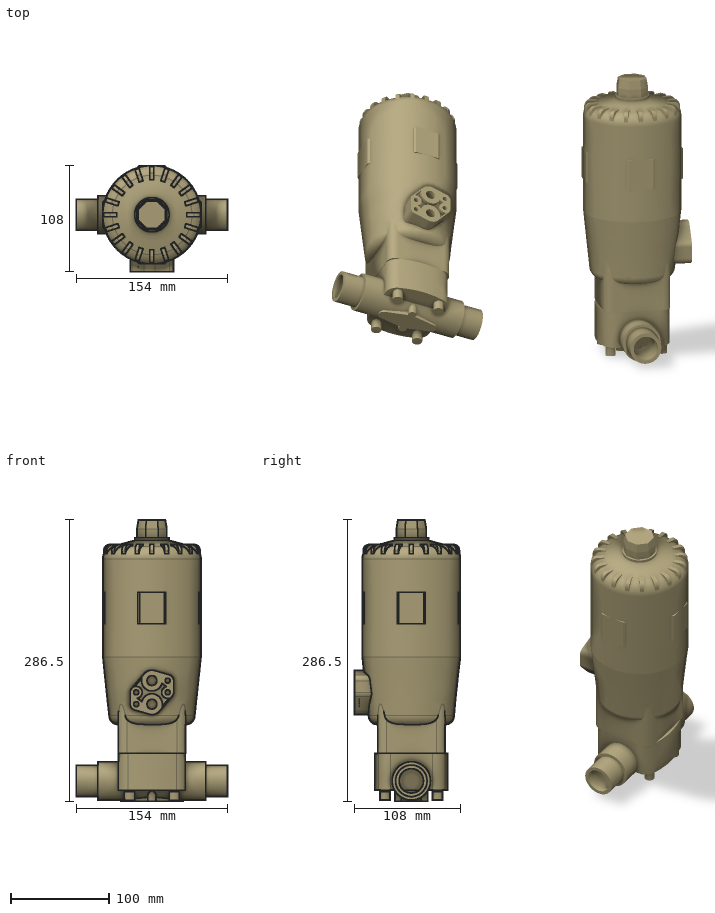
import cadquery as cq
import math


PIPE_LENGTH = 154.0
PIPE_RADIUS = 16.0
BORE_RADIUS = 12.4
COLLAR_LENGTH = 110.0
COLLAR_RADIUS = 19.5

BODY_BOTTOM_Z = -9.5
BODY_TOP_Z = 28.0
BODY_HALF_X = 34.0
BODY_FLAT_HALF_Y = 21.5
BODY_CORNER_X = 24.6
BODY_CORNER_Y = 33.8
BODY_BULGE_Y = 37.4

NECK_SIDE = 68.8
NECK_CORNER_RADIUS = 9.0
NECK_TOP_Z = 82.0

BASE_Z = -21.0
BASE_HALF_X = 31.7
BASE_END_RADIUS = 5.5
BASE_MIDDLE_HALF_Y = 11.0
BASE_POST_RADIUS = 4.3
BASE_POST_OUTER_Y = 16.7
BOLT_X = 22.7
BOLT_Y = 26.7
BOLT_NECK_DIAMETER = 9.8
BOLT_NECK_HEIGHT = 1.7
BOLT_HEAD_DIAMETER = 10.5
BOLT_BOTTOM_Z = -19.6

DRUM_RADIUS = 50.0
DRUM_FLOOR_Z = 57.2
DRUM_FLOOR_FILLET = 9.5
TAPER_BOTTOM_RADIUS = 43.7
TAPER_BOTTOM_Z = DRUM_FLOOR_Z + DRUM_FLOOR_FILLET
DRUM_BOTTOM_Z = 126.1
DRUM_HEIGHT = 100.0
DRUM_TOP_Z = DRUM_BOTTOM_Z + DRUM_HEIGHT
CAP_EDGE_RADIUS = 12.8
CAP_SLOPE = math.radians(15)
CAP_SHOULDER_RADIUS = 17.5
CAP_SHOULDER_TOP_Z = 247.5

RIB_COUNT = 20
RIB_WIDTH = 4.2
RIB_INNER_RADIUS = 35.7
RIB_OUTER_RADIUS = 49.0
RIB_BOTTOM_Z = 231.0
RIB_TOP_Z = 240.5
RIB_EDGE_RADIUS = 6.2
RIB_ROOT_DEPTH = 8.0

NUT_SIDES = 8
NUT_FLATS = 30.6
NUT_TOP_FLATS = 27.5
NUT_TAPER_Z = 256.4
NUT_TOP_Z = 265.5

PAD_COUNT = 4
PAD_WIDTH = 25.2
PAD_BASE_WIDTH = 28.6
PAD_THICKNESS = 1.7
PAD_ROOT = 6.0
PAD_BOTTOM_Z = 159.7
PAD_HEIGHT = 32.0

FLANGE_FACE_Y = -58.0
FLANGE_DEPTH = 23.0
FLANGE_Z = 90.0
PORT_OFFSET_Z = 12.0
SCREW_OFFSET_X = 16.0
PORT_RIM_RADIUS = 10.6
SCREW_RIM_RADIUS = 6.1
PORT_DIAMETER = 10.0
PORT_DEPTH = 12.0
SCREW_DIAMETER = 5.1
SCREW_DEPTH = 8.0
RECESS_DEPTH = 5.0
RECESS_WALL = 1.2
RECESS_HALF_WIDTH = 13.6


def cylinder_z(x, y, radius, z_bottom, z_top):
    return cq.Workplane("XY", origin=(x, y, z_bottom)).circle(radius).extrude(z_top - z_bottom)


def belt_outline(plane, circles):
    """Outline of a belt stretched around (x, y, radius) circles given counter-clockwise."""
    tangents = []
    for i, (ax, ay, ar) in enumerate(circles):
        bx, by, br = circles[(i + 1) % len(circles)]
        normal = math.atan2(by - ay, bx - ax) - math.acos((ar - br) / math.hypot(bx - ax, by - ay))
        tangents.append(normal)

    def on_circle(circle, angle):
        x, y, radius = circle
        return (x + radius * math.cos(angle), y + radius * math.sin(angle))

    outline = plane.moveTo(*on_circle(circles[0], tangents[0]))
    for i, arriving in enumerate(tangents):
        circle = circles[(i + 1) % len(circles)]
        leaving = tangents[(i + 1) % len(circles)]
        sweep = (leaving - arriving) % (2 * math.pi)
        outline = outline.lineTo(*on_circle(circle, arriving))
        if circle[2] > 0:
            middle = on_circle(circle, arriving + sweep / 2)
            outline = outline.threePointArc(middle, on_circle(circle, leaving))
    return outline.close()


def make_pipe():
    pipe = cq.Workplane("YZ").circle(PIPE_RADIUS).extrude(PIPE_LENGTH / 2, both=True)
    collar = cq.Workplane("YZ").circle(COLLAR_RADIUS).extrude(COLLAR_LENGTH / 2, both=True)
    bore = cq.Workplane("YZ").circle(BORE_RADIUS).extrude(PIPE_LENGTH / 2, both=True)
    return pipe.union(collar).cut(bore)


def make_body():
    """Block with flat sides, rounded corners and bulged front and back."""
    corner_radius = (
        (BODY_HALF_X - BODY_CORNER_X) ** 2 + (BODY_CORNER_Y - BODY_FLAT_HALF_Y) ** 2
    ) / (2 * (BODY_HALF_X - BODY_CORNER_X))
    corner_center_x = BODY_HALF_X - corner_radius
    half_sweep = math.asin((BODY_CORNER_Y - BODY_FLAT_HALF_Y) / corner_radius) / 2
    mid_x = corner_center_x + corner_radius * math.cos(half_sweep)
    mid_y = BODY_FLAT_HALF_Y + corner_radius * math.sin(half_sweep)
    return (
        cq.Workplane("XY", origin=(0, 0, BODY_BOTTOM_Z))
        .moveTo(BODY_HALF_X, -BODY_FLAT_HALF_Y)
        .lineTo(BODY_HALF_X, BODY_FLAT_HALF_Y)
        .threePointArc((mid_x, mid_y), (BODY_CORNER_X, BODY_CORNER_Y))
        .threePointArc((0, BODY_BULGE_Y), (-BODY_CORNER_X, BODY_CORNER_Y))
        .threePointArc((-mid_x, mid_y), (-BODY_HALF_X, BODY_FLAT_HALF_Y))
        .lineTo(-BODY_HALF_X, -BODY_FLAT_HALF_Y)
        .threePointArc((-mid_x, -mid_y), (-BODY_CORNER_X, -BODY_CORNER_Y))
        .threePointArc((0, -BODY_BULGE_Y), (BODY_CORNER_X, -BODY_CORNER_Y))
        .threePointArc((mid_x, -mid_y), (BODY_HALF_X, -BODY_FLAT_HALF_Y))
        .close()
        .extrude(BODY_TOP_Z - BODY_BOTTOM_Z)
    )


def make_neck():
    return (
        cq.Workplane("XY", origin=(0, 0, BODY_TOP_Z))
        .rect(NECK_SIDE, NECK_SIDE)
        .extrude(NECK_TOP_Z - BODY_TOP_Z)
        .edges("|Z")
        .fillet(NECK_CORNER_RADIUS)
    )


def make_base():
    """Lozenge plate under the pipe with a round post on each long side."""
    end_x = BASE_HALF_X - BASE_END_RADIUS
    lozenge = [
        (end_x, 0, BASE_END_RADIUS),
        (0, BASE_MIDDLE_HALF_Y, 0),
        (-end_x, 0, BASE_END_RADIUS),
        (0, -BASE_MIDDLE_HALF_Y, 0),
    ]
    plane = cq.Workplane("XY", origin=(0, 0, BASE_Z))
    base = belt_outline(plane, lozenge).extrude(BODY_BOTTOM_Z - BASE_Z)
    post_y = BASE_POST_OUTER_Y - BASE_POST_RADIUS
    for side in (-1, 1):
        base = base.union(cylinder_z(0, side * post_y, BASE_POST_RADIUS, BASE_Z, BODY_BOTTOM_Z))
    return base


def make_bolt(x, y):
    head_top_z = BODY_BOTTOM_Z - BOLT_NECK_HEIGHT
    neck = cylinder_z(x, y, BOLT_NECK_DIAMETER / 2, head_top_z, BODY_BOTTOM_Z)
    return neck.union(cylinder_z(x, y, BOLT_HEAD_DIAMETER / 2, BOLT_BOTTOM_Z, head_top_z))


def make_housing():
    """Turned actuator: rounded floor, taper, drum, rounded cap edge, cone and shoulder."""
    floor_radius = TAPER_BOTTOM_RADIUS - DRUM_FLOOR_FILLET
    floor_mid = DRUM_FLOOR_FILLET * math.sin(math.radians(45))

    edge_center_radius = DRUM_RADIUS - CAP_EDGE_RADIUS

    def cap_edge_point(angle):
        return (
            edge_center_radius + CAP_EDGE_RADIUS * math.cos(angle),
            DRUM_TOP_Z + CAP_EDGE_RADIUS * math.sin(angle),
        )

    edge_sweep = math.pi / 2 - CAP_SLOPE
    cone_start = cap_edge_point(edge_sweep)
    cone_top_z = cone_start[1] + (cone_start[0] - CAP_SHOULDER_RADIUS) * math.tan(CAP_SLOPE)
    return (
        cq.Workplane("XZ")
        .moveTo(0, DRUM_FLOOR_Z)
        .lineTo(floor_radius, DRUM_FLOOR_Z)
        .threePointArc(
            (floor_radius + floor_mid, TAPER_BOTTOM_Z - floor_mid),
            (TAPER_BOTTOM_RADIUS, TAPER_BOTTOM_Z),
        )
        .lineTo(DRUM_RADIUS, DRUM_BOTTOM_Z)
        .lineTo(DRUM_RADIUS, DRUM_TOP_Z)
        .threePointArc(cap_edge_point(edge_sweep / 2), cone_start)
        .lineTo(CAP_SHOULDER_RADIUS, cone_top_z)
        .lineTo(CAP_SHOULDER_RADIUS, CAP_SHOULDER_TOP_Z)
        .lineTo(0, CAP_SHOULDER_TOP_Z)
        .close()
        .revolve(360, (0, 0, 0), (0, 1, 0))
    )


def make_rib():
    """One rib over the cap edge, in the +X direction."""
    arc_center_radius = RIB_OUTER_RADIUS - RIB_EDGE_RADIUS
    arc_center_z = RIB_TOP_Z - RIB_EDGE_RADIUS
    arc_mid = RIB_EDGE_RADIUS * math.sin(math.radians(45))
    return (
        cq.Workplane("XZ")
        .moveTo(RIB_INNER_RADIUS, RIB_TOP_Z)
        .lineTo(arc_center_radius, RIB_TOP_Z)
        .threePointArc(
            (arc_center_radius + arc_mid, arc_center_z + arc_mid),
            (RIB_OUTER_RADIUS, arc_center_z),
        )
        .lineTo(RIB_OUTER_RADIUS, RIB_BOTTOM_Z)
        .lineTo(RIB_INNER_RADIUS, RIB_TOP_Z - RIB_ROOT_DEPTH)
        .close()
        .extrude(RIB_WIDTH / 2, both=True)
    )


def make_nut():
    """Octagon with flats facing X and Y, tapered near the top."""
    half_turn = 180 / NUT_SIDES

    def octagon(flats, z):
        corner_diameter = flats / math.cos(math.radians(half_turn))
        plane = cq.Workplane("XY", origin=(0, 0, z)).transformed(rotate=(0, 0, half_turn))
        return plane.polygon(NUT_SIDES, corner_diameter)

    taper = math.degrees(math.atan2((NUT_FLATS - NUT_TOP_FLATS) / 2, NUT_TOP_Z - NUT_TAPER_Z))
    straight = octagon(NUT_FLATS, CAP_SHOULDER_TOP_Z).extrude(NUT_TAPER_Z - CAP_SHOULDER_TOP_Z)
    top = octagon(NUT_FLATS, NUT_TAPER_Z).extrude(NUT_TOP_Z - NUT_TAPER_Z, taper=taper)
    return straight.union(top)


def make_pad():
    """Flat pad touching the drum's outer radius, on the +X side, with sloped ends."""
    base_x = DRUM_RADIUS - PAD_THICKNESS
    root_x = base_x - PAD_ROOT
    outline = [
        (DRUM_RADIUS, -PAD_WIDTH / 2),
        (DRUM_RADIUS, PAD_WIDTH / 2),
        (base_x, PAD_BASE_WIDTH / 2),
        (root_x, PAD_BASE_WIDTH / 2),
        (root_x, -PAD_BASE_WIDTH / 2),
        (base_x, -PAD_BASE_WIDTH / 2),
    ]
    return cq.Workplane("XY", origin=(0, 0, PAD_BOTTOM_Z)).polyline(outline).close().extrude(PAD_HEIGHT)


def make_flange():
    """Connection flange with two ports, four screw holes and a walled recess between them."""
    face = cq.Workplane("XZ", origin=(0, FLANGE_FACE_Y, FLANGE_Z))
    ports = [(0, PORT_OFFSET_Z), (0, -PORT_OFFSET_Z)]
    middle_screws = [(SCREW_OFFSET_X, 0), (-SCREW_OFFSET_X, 0)]
    corner_screws = [(SCREW_OFFSET_X, PORT_OFFSET_Z), (-SCREW_OFFSET_X, -PORT_OFFSET_Z)]

    def outline(inset):
        port_radius = PORT_RIM_RADIUS - inset
        screw_radius = SCREW_RIM_RADIUS - inset
        return belt_outline(face, [
            (*middle_screws[0], screw_radius),
            (*corner_screws[0], screw_radius),
            (*ports[0], port_radius),
            (*middle_screws[1], screw_radius),
            (*corner_screws[1], screw_radius),
            (*ports[1], port_radius),
        ])

    band_angle = math.degrees(math.atan2(-PORT_OFFSET_Z, SCREW_OFFSET_X))
    band_length = 4 * SCREW_OFFSET_X
    band = (
        face.transformed(rotate=(0, 0, band_angle))
        .rect(band_length, 2 * RECESS_HALF_WIDTH)
        .extrude(-RECESS_DEPTH)
    )
    rims = (
        face.pushPoints(ports).circle(PORT_RIM_RADIUS).extrude(-RECESS_DEPTH)
        .union(face.pushPoints(middle_screws).circle(SCREW_RIM_RADIUS).extrude(-RECESS_DEPTH))
    )
    recess = outline(RECESS_WALL).extrude(-RECESS_DEPTH).intersect(band).cut(rims)
    port_holes = face.pushPoints(ports).circle(PORT_DIAMETER / 2).extrude(-PORT_DEPTH)
    screw_holes = (
        face.pushPoints(middle_screws + corner_screws).circle(SCREW_DIAMETER / 2).extrude(-SCREW_DEPTH)
    )
    blank = outline(0).extrude(-FLANGE_DEPTH)
    return blank, recess.union(port_holes).union(screw_holes)


def around_z(shape, count):
    """Copies of a shape spread evenly around the Z axis."""
    return [shape.rotate((0, 0, 0), (0, 0, 1), i * 360 / count) for i in range(count)]


flange_blank, flange_cuts = make_flange()

result = make_pipe().union(make_body()).union(make_base()).union(make_neck())
for bolt_x in (-BOLT_X, BOLT_X):
    for bolt_y in (-BOLT_Y, BOLT_Y):
        result = result.union(make_bolt(bolt_x, bolt_y))
result = result.union(make_housing()).union(make_nut())
for rib in around_z(make_rib(), RIB_COUNT):
    result = result.union(rib)
for pad in around_z(make_pad(), PAD_COUNT):
    result = result.union(pad)
result = result.union(flange_blank).cut(flange_cuts)